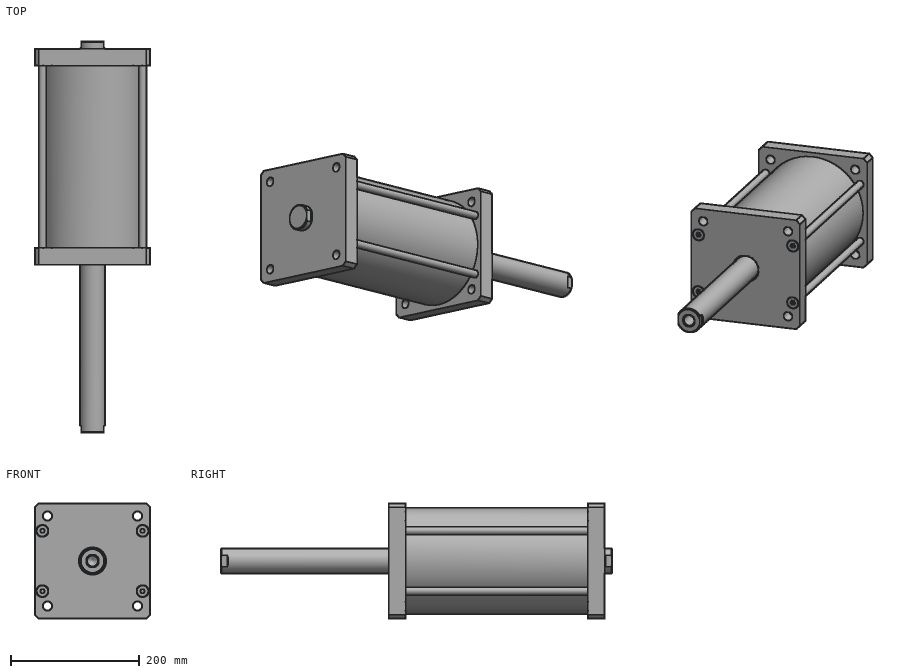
import cadquery as cq
import math

TOTAL_LENGTH = 611.0

PLATE_SIZE = 180.0
PLATE_THICKNESS = 26.0
PLATE_CORNER_CHAMFER = 6.0
MOUNT_HOLE_DIAMETER = 14.0
MOUNT_HOLE_OFFSET = 70.0

BARREL_DIAMETER = 167.0
BARREL_LENGTH = 285.0
TIE_ROD_DIAMETER = 12.0
TIE_ROD_X = 78.0
TIE_ROD_Z = 47.0

HEAD_DIAMETER = 18.0
HEAD_POCKET_DIAMETER = 19.0
HEAD_HEIGHT = 12.0
HEX_SOCKET_DIAMETER = 7.5
HEX_SOCKET_DEPTH = 6.0

ROD_DIAMETER = 40.0
ROD_END_CHAMFER = 1.5
REAR_STUB_LENGTH = 11.5
SEAL_RECESS_DIAMETER = 43.0
SEAL_RECESS_DEPTH = 3.0

FLAT_WIDTH = 35.5
FLAT_LENGTH = 10.0

ROD_HOLE_DIAMETER = 17.0
ROD_HOLE_MOUTH_DIAMETER = 20.0
ROD_HOLE_DEPTH = 36.5
DRILL_POINT_ANGLE = 118.0

FRONT_END = -TOTAL_LENGTH / 2
REAR_END = TOTAL_LENGTH / 2
REAR_PLATE_BACK = REAR_END - REAR_STUB_LENGTH
BARREL_BACK = REAR_PLATE_BACK - PLATE_THICKNESS
BARREL_FRONT = BARREL_BACK - BARREL_LENGTH
FRONT_FACE = BARREL_FRONT - PLATE_THICKNESS

TIE_ROD_SPOTS = [(x, z) for x in (-TIE_ROD_X, TIE_ROD_X) for z in (-TIE_ROD_Z, TIE_ROD_Z)]
MOUNT_HOLE_SPOTS = [
    (x, z)
    for x in (-MOUNT_HOLE_OFFSET, MOUNT_HOLE_OFFSET)
    for z in (-MOUNT_HOLE_OFFSET, MOUNT_HOLE_OFFSET)
]


def section_at(y):
    """Workplane across the axis at station y: local x is X, local y is Z, extrusion goes to -Y."""
    return cq.Workplane("XZ", origin=(0, y, 0))


def cylinders(y_back, y_front, diameter, spots=((0, 0),)):
    """Cylinders along Y from y_back forward to y_front."""
    return section_at(y_back).pushPoints(spots).circle(diameter / 2).extrude(y_back - y_front)


def end_plate(y_back):
    """Square plate with chamfered corners and four through mounting holes."""
    plate = section_at(y_back).rect(PLATE_SIZE, PLATE_SIZE).extrude(PLATE_THICKNESS)
    plate = plate.edges("|Y").chamfer(PLATE_CORNER_CHAMFER)
    return plate.cut(cylinders(y_back, y_back - PLATE_THICKNESS, MOUNT_HOLE_DIAMETER, MOUNT_HOLE_SPOTS))


def screw_heads():
    """Round heads with hexagon sockets, flush with the front face."""
    heads = cylinders(FRONT_FACE + HEAD_HEIGHT, FRONT_FACE, HEAD_DIAMETER, TIE_ROD_SPOTS)
    sockets = (
        section_at(FRONT_FACE + HEX_SOCKET_DEPTH)
        .pushPoints(TIE_ROD_SPOTS)
        .polygon(6, HEX_SOCKET_DIAMETER)
        .extrude(HEX_SOCKET_DEPTH)
    )
    return heads.cut(sockets)


def front_plate():
    """End plate with sunk screw heads and a shallow seal recess around the rod."""
    plate = end_plate(BARREL_FRONT)
    plate = plate.cut(cylinders(FRONT_FACE + HEAD_HEIGHT, FRONT_FACE, HEAD_POCKET_DIAMETER, TIE_ROD_SPOTS))
    plate = plate.union(screw_heads())
    return plate.cut(cylinders(FRONT_FACE + SEAL_RECESS_DEPTH, FRONT_FACE, SEAL_RECESS_DIAMETER))


def rod_hole():
    """Drilled hole with a conical bottom and a countersunk mouth, revolved about the Y axis."""
    radius = ROD_HOLE_DIAMETER / 2
    mouth_radius = ROD_HOLE_MOUTH_DIAMETER / 2
    point_length = radius / math.tan(math.radians(DRILL_POINT_ANGLE / 2))
    profile = [
        (0, FRONT_END),
        (mouth_radius, FRONT_END),
        (radius, FRONT_END + mouth_radius - radius),
        (radius, FRONT_END + ROD_HOLE_DEPTH),
        (0, FRONT_END + ROD_HOLE_DEPTH + point_length),
    ]
    return cq.Workplane("XY").polyline(profile).close().revolve(360, (0, 0, 0), (0, 1, 0))


def wrench_flat_cuts():
    """Blocks that leave two parallel flats, with 45 degree run-outs, at each end of the rod."""
    flat_x = FLAT_WIDTH / 2
    rod_x = ROD_DIAMETER / 2
    flat_end = FRONT_END + FLAT_LENGTH
    profile = [
        (flat_x, FRONT_END),
        (flat_x, flat_end),
        (rod_x, flat_end + rod_x - flat_x),
        (rod_x, FRONT_END),
    ]
    front_block = cq.Workplane("XY").polyline(profile).close().extrude(ROD_DIAMETER / 2, both=True)
    front_pair = front_block.union(front_block.mirror("YZ"))
    return front_pair.union(front_pair.mirror("XZ"))


def piston_rod():
    """Rod running the whole length, with flats at both ends and a hole in the front."""
    rod = cylinders(REAR_END, FRONT_END, ROD_DIAMETER)
    rod = rod.faces("<Y or >Y").chamfer(ROD_END_CHAMFER)
    return rod.cut(wrench_flat_cuts()).cut(rod_hole())


barrel = cylinders(BARREL_BACK, BARREL_FRONT, BARREL_DIAMETER)
tie_rods = cylinders(BARREL_BACK, BARREL_FRONT, TIE_ROD_DIAMETER, TIE_ROD_SPOTS)

result = (
    end_plate(REAR_PLATE_BACK)
    .union(barrel)
    .union(tie_rods)
    .union(front_plate())
    .union(piston_rod())
)